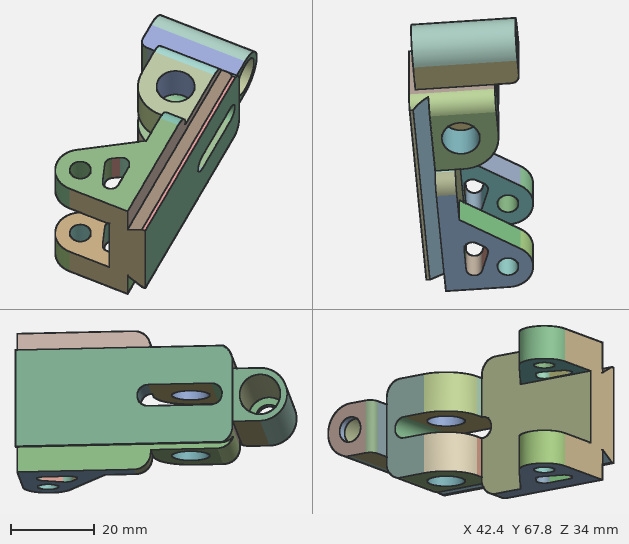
import cadquery as cq
import math

TILT = 15.0

PLATE_WIDTH = 34.0
PLATE_FACE = -9.55
PLATE_BACK = -4.7
EDGE_RADIUS = 4.0
CHEEK_GAP = 17.75
CHEEK_RADIUS = 6.0
CHEEK_X = -20.05
CHEEK_TOP = 20.6
PIVOT_DIAMETER = 5.0

WINDOW_RADIUS = 1.95
WINDOW_X = -12.0
WINDOW_TOP = 11.8
WINDOW_SIDE_X = -13.7
WINDOW_SIDE_Y = 10.7

BLOCK_WIDTH = 24.5
BLOCK_TOP = 52.0
BLOCK_RADIUS = 9.0
BORE_X = -11.6
BORE_Y = 41.0
BORE_DIAMETER = 9.1
BLOCK_FACE = BORE_X - BLOCK_RADIUS
PLATE_TOP = BORE_Y - BLOCK_RADIUS
SLOT_WIDTH = 5.2
SLOT_BOTTOM = 29.2
SLOT_TOP = 49.5

DOVETAIL_WIDTH = 23.65
DOVETAIL_ROOT_WIDTH = 19.05
DOVETAIL_LAND = 0.9

LUG_LEFT = -26.5
LUG_RIGHT = -1.55
LUG_TOP = 65.0
LUG_WIDTH = 13.0
LUG_CORNER_RADIUS = 2.0
LUG_BORE_DIAMETER = 6.2
LUG_LIP = 2.0
LUG_COUNTERBORE_DIAMETER = 9.75


def slab(x_min, x_max, y_min, y_max, width):
    """Box centred on the mid-plane."""
    return cq.Workplane("XY").box(x_max - x_min, y_max - y_min, width).translate(
        ((x_min + x_max) / 2, (y_min + y_max) / 2, 0)
    )


def bore(x, y, diameter):
    """Cutter along Z through the whole part."""
    return cq.Workplane("XY").center(x, y).circle(diameter / 2).extrude(PLATE_WIDTH, both=True)


def prism(points, width):
    return cq.Workplane("XY").polyline(points).close().extrude(width / 2, both=True)


def tangent_offset(start, end, radius):
    """Vector from a circle centre to its left-hand tangent point for travel from start to end."""
    dx = end[0] - start[0]
    dy = end[1] - start[1]
    length = math.hypot(dx, dy)
    return (-dy / length * radius, dx / length * radius)


def rounded_hull(centers, radius, width):
    """Prism around equal circles whose centres run clockwise."""
    points = []
    for start, end in zip(centers, centers[1:] + centers[:1]):
        ox, oy = tangent_offset(start, end, radius)
        points += [(start[0] + ox, start[1] + oy), (end[0] + ox, end[1] + oy)]
    hull = prism(points, width)
    for x, y in centers:
        hull = hull.union(cq.Workplane("XY").center(x, y).circle(radius).extrude(width / 2, both=True))
    return hull


def make_plate():
    plate = slab(PLATE_FACE, PLATE_BACK, 0, PLATE_TOP, PLATE_WIDTH)
    return plate.edges("|X and >Y").fillet(EDGE_RADIUS)


def make_cheeks():
    center = (CHEEK_X, CHEEK_RADIUS)
    dx = PLATE_FACE - center[0]
    dy = CHEEK_TOP - center[1]
    angle = math.atan2(dy, dx) + math.acos(CHEEK_RADIUS / math.hypot(dx, dy))
    tangent = (center[0] + CHEEK_RADIUS * math.cos(angle), center[1] + CHEEK_RADIUS * math.sin(angle))
    cheeks = (
        cq.Workplane("XY")
        .moveTo(PLATE_BACK, 0)
        .lineTo(PLATE_BACK, CHEEK_TOP)
        .lineTo(PLATE_FACE, CHEEK_TOP)
        .lineTo(*tangent)
        .threePointArc((CHEEK_X - CHEEK_RADIUS, CHEEK_RADIUS), (CHEEK_X, 0))
        .close()
        .extrude(PLATE_WIDTH / 2, both=True)
    )
    gap = slab(CHEEK_X - CHEEK_RADIUS, PLATE_FACE, 0, CHEEK_TOP, CHEEK_GAP)
    window_centers = [
        (WINDOW_X, WINDOW_TOP),
        (WINDOW_X, CHEEK_RADIUS),
        (WINDOW_SIDE_X, WINDOW_SIDE_Y),
    ]
    window = rounded_hull(window_centers, WINDOW_RADIUS, PLATE_WIDTH)
    return cheeks.cut(gap).cut(window).cut(bore(CHEEK_X, CHEEK_RADIUS, PIVOT_DIAMETER))


def make_dovetail():
    half_root = DOVETAIL_ROOT_WIDTH / 2
    half_width = DOVETAIL_WIDTH / 2
    return (
        cq.Workplane("XZ")
        .polyline([
            (PLATE_BACK, -half_root),
            (-DOVETAIL_LAND, -half_width),
            (0, -half_width),
            (0, half_width),
            (-DOVETAIL_LAND, half_width),
            (PLATE_BACK, half_root),
        ])
        .close()
        .extrude(-BLOCK_TOP)
    )


def make_block_and_dovetail():
    block = slab(BLOCK_FACE, PLATE_BACK, PLATE_TOP, BLOCK_TOP, BLOCK_WIDTH)
    block = block.edges("|Z and <X and <Y").fillet(BLOCK_RADIUS)
    outline = slab(BLOCK_FACE, 0, 0, BLOCK_TOP, BLOCK_WIDTH).edges("|X and >Y").fillet(EDGE_RADIUS)
    return block.union(make_dovetail()).intersect(outline)


def make_clamp_slot():
    return (
        cq.Workplane("YZ", origin=(BLOCK_FACE, 0, 0))
        .center((SLOT_BOTTOM + SLOT_TOP) / 2, 0)
        .slot2D(SLOT_TOP - SLOT_BOTTOM, SLOT_WIDTH)
        .extrude(-BLOCK_FACE)
    )


def make_lug():
    half_width = LUG_WIDTH / 2
    center_y = LUG_TOP - half_width
    length = LUG_RIGHT - LUG_LEFT
    lug = (
        cq.Workplane("YZ", origin=(LUG_LEFT, 0, 0))
        .moveTo(BLOCK_TOP, -half_width)
        .lineTo(center_y, -half_width)
        .threePointArc((LUG_TOP, 0), (center_y, half_width))
        .lineTo(BLOCK_TOP, half_width)
        .close()
        .extrude(length)
    )
    lug = lug.edges("|Z and <X and <Y").fillet(LUG_CORNER_RADIUS)
    axis = cq.Workplane("YZ", origin=(LUG_LEFT, center_y, 0))
    through_bore = axis.circle(LUG_BORE_DIAMETER / 2).extrude(length)
    counterbore = (
        axis.workplane(offset=LUG_LIP)
        .circle(LUG_COUNTERBORE_DIAMETER / 2)
        .extrude(length - LUG_LIP)
    )
    return lug.cut(through_bore).cut(counterbore)


body = make_plate().union(make_cheeks()).union(make_block_and_dovetail())
body = body.cut(make_clamp_slot()).cut(bore(BORE_X, BORE_Y, BORE_DIAMETER))
body = body.union(make_lug())

result = body.rotate((0, 0, 0), (0, 0, 1), TILT)